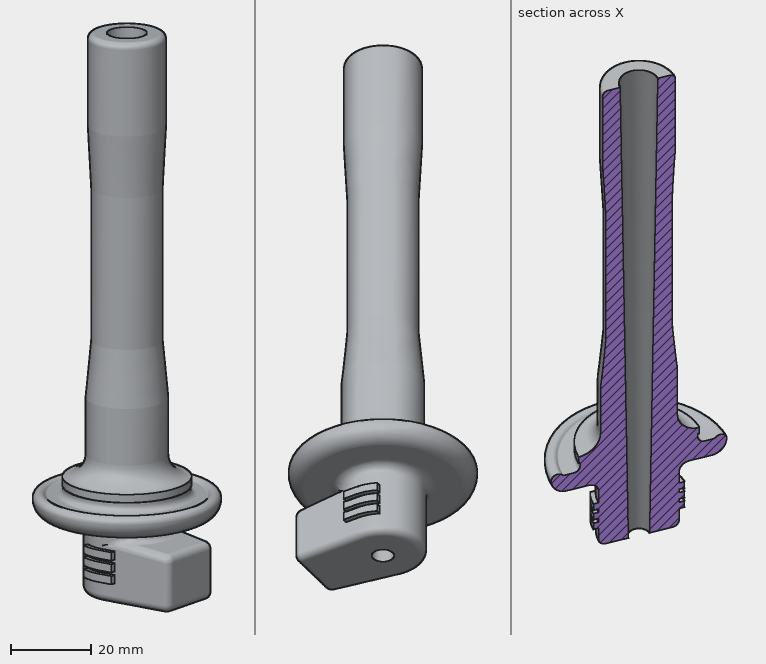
import cadquery as cq
import math

total_height = 145.29
top_radius = 9.8
waist_radius = 8.95
base_radius = 10.35
top_fillet = 1.6
top_sleeve_start = 121.2
waist_end = 105.0
waist_start = 65.5
base_sleeve_end = 50.6

shoulder_radius = 16.15
shoulder_top = 30.05
shoulder_bottom = 27.9
undercut_radius = 15.8
notch_width = 1.5
notch_depth = 0.6
notch_bottom = 27.4

flange_radius = 47.11 / 2
flange_bottom = 20.0
bead_radius = 1.75
bead_center_z = 24.4
underside_radius = 4.45
underside_width = 3.6
web_top = 25.3
bead_root_fillet = 0.8
web_fillet = 1.75

hub_radius = 10.85
neck_fillet = 2.6
arm_reach = 20.55
arm_tangent_x = 1.05
arm_end_height = 14.9
arm_top_slope = math.radians(5.3)
edge_fillet = 2.0
arm_root_fillet = 2.0

bar_count = 3
bar_half_length = 4.65
bar_height = 2.15
bar_pitch = 3.08
bar_bottom = 5.5
bar_projection = 1.35

bore_top_radius = 5.0
bore_bottom_radius = 2.8


def shaft_and_flange():
    """Revolve the shaft, shoulder, flange and hub neck as one profile."""
    bead_center_r = flange_radius - bead_radius
    root_center_z = web_top + bead_root_fillet
    root_lean = math.asin((root_center_z - bead_center_z) / (bead_radius + bead_root_fillet))
    bead_inner_r = bead_center_r - bead_radius * math.cos(root_lean)
    bead_inner_z = bead_center_z + bead_radius * math.sin(root_lean)
    root_center_r = bead_center_r - (bead_radius + bead_root_fillet) * math.cos(root_lean)
    flare_radius = shoulder_radius - base_radius
    profile = (
        cq.Workplane("XZ")
        .moveTo(0, 0)
        .lineTo(hub_radius - edge_fillet, 0)
        .radiusArc((hub_radius, edge_fillet), -edge_fillet)
        .lineTo(hub_radius, flange_bottom - neck_fillet)
        .radiusArc((hub_radius + neck_fillet, flange_bottom), neck_fillet)
        .lineTo(flange_radius - underside_width, flange_bottom)
        .radiusArc((flange_radius, bead_center_z), -underside_radius)
        .threePointArc((bead_center_r, bead_center_z + bead_radius), (bead_inner_r, bead_inner_z))
        .radiusArc((root_center_r, web_top), bead_root_fillet)
        .lineTo(undercut_radius + web_fillet, web_top)
        .radiusArc((undercut_radius, web_top + web_fillet), web_fillet)
        .lineTo(undercut_radius, shoulder_bottom)
        .lineTo(shoulder_radius, shoulder_bottom)
        .lineTo(shoulder_radius, shoulder_top)
        .radiusArc((base_radius, shoulder_top + flare_radius), flare_radius)
        .lineTo(base_radius, base_sleeve_end)
        .lineTo(waist_radius, waist_start)
        .lineTo(waist_radius, waist_end)
        .lineTo(top_radius, top_sleeve_start)
        .lineTo(top_radius, total_height - top_fillet)
        .radiusArc((top_radius - top_fillet, total_height), -top_fillet)
        .lineTo(0, total_height)
        .close()
    )
    return profile.revolve(360, (0, 0, 0), (0, 1, 0)).rotate((0, 0, 0), (0, 0, 1), 180)


def flank_points(offset=0.0):
    """Corners where a flank leaves the round hub and where it meets the arm's end."""
    radius = hub_radius + offset
    lean = math.asin(arm_tangent_x / hub_radius)
    start = (radius * math.sin(lean), radius * math.cos(lean))
    end = (arm_reach, start[1] - (arm_reach - start[0]) * math.tan(lean))
    return start, end


def mirrored(point):
    """Same point on the other side of the XZ plane."""
    return point[0], -point[1]


def side_arm():
    """Tapering arm with a sloping top and rounded outer edges."""
    start, end = flank_points()
    axis_height = arm_end_height + arm_reach * math.tan(arm_top_slope)
    outline = cq.Workplane("XY").polyline([(0, 0), mirrored(start), mirrored(end), end, start]).close()
    side_view = (
        cq.Workplane("XZ")
        .polyline([(0, 0), (arm_reach, 0), (arm_reach, arm_end_height), (0, axis_height)])
        .close()
        .extrude(2 * hub_radius, both=True)
    )
    arm = outline.extrude(axis_height).intersect(side_view)
    arm = arm.edges("|Z and >X").fillet(edge_fillet)
    outer_edges = cq.selectors.BoxSelector(
        (arm_tangent_x, -2 * hub_radius, -axis_height), (2 * arm_reach, 2 * hub_radius, 2 * axis_height)
    )
    arm = arm.faces("<Z").edges(outer_edges).fillet(edge_fillet)
    return arm.faces(">Z").edges(outer_edges).fillet(edge_fillet)


def round_arm_root(solid):
    """Blend the arm's top into the round hub along their meeting line."""
    meeting_line = cq.selectors.BoxSelector(
        (0, -hub_radius, arm_end_height - edge_fillet),
        (hub_radius + edge_fillet / 2, hub_radius, flange_bottom - neck_fillet / 2),
        boundingbox=True,
    )
    return solid.edges(meeting_line).edges(">Y").fillet(arm_root_fillet)


def grip_bars():
    """Bars standing out from both flanks, following the hub's outline."""
    start, end = flank_points(bar_projection)
    outline = (
        cq.Workplane("XY")
        .moveTo(*start)
        .threePointArc((-hub_radius - bar_projection, 0), mirrored(start))
        .lineTo(*mirrored(end))
        .lineTo(*end)
        .close()
    )
    window = cq.Workplane("XY").box(
        2 * bar_half_length, 4 * hub_radius, bar_height, centered=(True, True, False)
    )
    bar = outline.extrude(bar_height).intersect(window).translate((0, 0, bar_bottom))
    bars = cq.Workplane("XY")
    for index in range(bar_count):
        bars = bars.add(bar.translate((0, 0, index * bar_pitch)))
    return bars.combine()


def tapered_bore():
    """Conical cutter running the full height of the part."""
    return (
        cq.Workplane("XY")
        .circle(bore_bottom_radius)
        .workplane(offset=total_height)
        .circle(bore_top_radius)
        .loft()
    )


def shoulder_notch():
    """Small cutter for the notch on the -X side of the shoulder."""
    notch_height = shoulder_top - notch_bottom
    cutter = cq.Workplane("XY").box(2 * notch_depth, notch_width, notch_height, centered=(True, True, False))
    return cutter.translate((-shoulder_radius, 0, notch_bottom))


body = round_arm_root(shaft_and_flange().union(side_arm()))
body = body.union(grip_bars())
body = body.cut(shoulder_notch())
result = body.cut(tapered_bore())